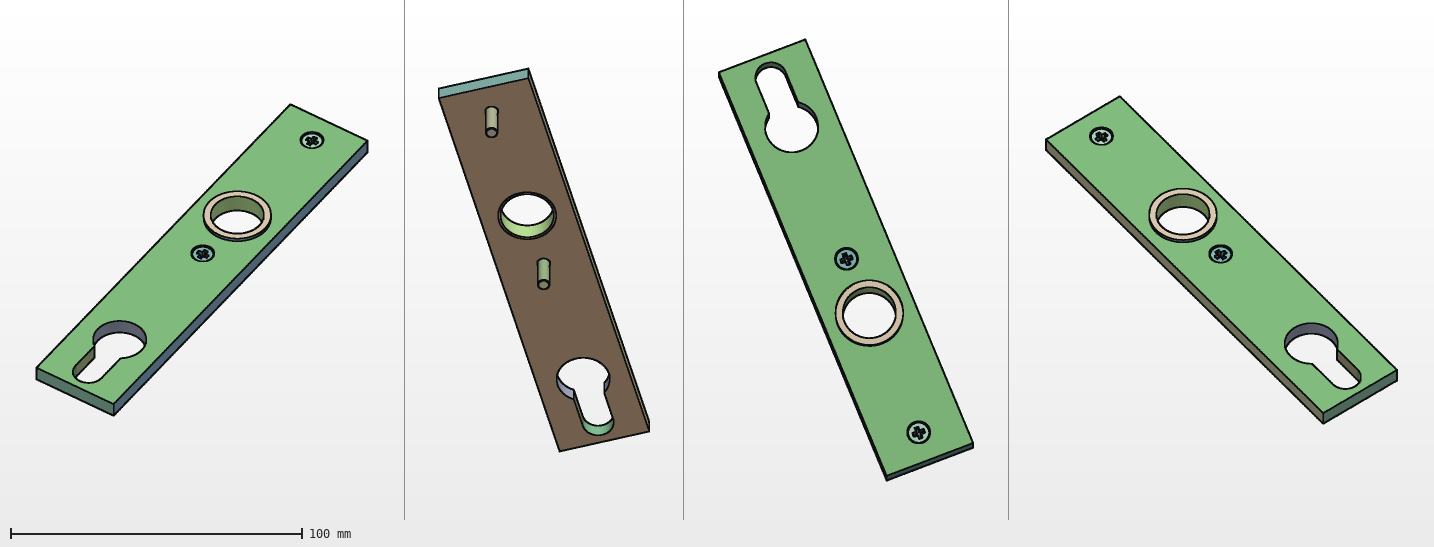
import cadquery as cq

plate_width = 32.0
plate_length = 156.0
plate_thickness = 5.6

keyhole_diameter = 18.3
keyhole_y = 27.5
key_slot_width = 10.8
key_slot_end_gap = 3.0

bush_y = plate_length - 56.3
bush_bore_diameter = 18.3
bush_sleeve_diameter = 20.0
bush_flange_diameter = 23.2
bush_flange_height = 1.2

top_screw_y = plate_length - 10.5
screw_spacing = 67.1
screw_positions_y = [top_screw_y, top_screw_y - screw_spacing]
overall_height = 19.2
screw_tip_z = bush_flange_height - overall_height
shank_diameter = 4.0
tip_diameter = 3.6
tip_chamfer = (shank_diameter - tip_diameter) / 2
head_diameter = 7.2
head_cone_height = (head_diameter - shank_diameter) / 2
cross_length = 4.2
cross_slot_width = 1.4
cross_depth = 1.9
cross_taper = 10.0

screw_hole_diameter = 4.5
countersink_diameter = 8.0
countersink_angle = 90.0
head_top_z = -(countersink_diameter - head_diameter) / 2


def make_keyhole_cutter():
    """Round opening with a round-ended slot running towards the lower plate end."""
    slot_end_y = key_slot_end_gap + key_slot_width / 2
    base = cq.Workplane("XY")
    opening = base.center(0, keyhole_y).circle(keyhole_diameter / 2).extrude(-plate_thickness)
    slot = (
        base.center(0, (keyhole_y + slot_end_y) / 2)
        .rect(key_slot_width, keyhole_y - slot_end_y)
        .extrude(-plate_thickness)
    )
    slot_end = base.center(0, slot_end_y).circle(key_slot_width / 2).extrude(-plate_thickness)
    return opening.union(slot).union(slot_end)


def make_plate():
    """Rectangular plate with the keyhole, the bush hole and two countersunk screw holes."""
    blank = (
        cq.Workplane("XY")
        .center(0, plate_length / 2)
        .rect(plate_width, plate_length)
        .extrude(-plate_thickness)
    )
    return (
        blank.cut(make_keyhole_cutter())
        .faces(">Z")
        .workplane(origin=(0, 0, 0))
        .pushPoints([(0, bush_y)])
        .hole(bush_sleeve_diameter)
        .pushPoints([(0, y) for y in screw_positions_y])
        .cskHole(screw_hole_diameter, countersink_diameter, countersink_angle)
    )


def make_bush():
    """Sleeve through the full plate thickness, with a flange resting on the plate face."""
    base = cq.Workplane("XY").center(0, bush_y)
    sleeve = base.circle(bush_sleeve_diameter / 2).extrude(-plate_thickness)
    flange = base.circle(bush_flange_diameter / 2).extrude(bush_flange_height)
    return sleeve.union(flange).faces(">Z").workplane().hole(bush_bore_diameter)


def make_screw(y):
    """Countersunk screw with a chamfered tip and a tapered cross recess in its head."""
    screw = (
        cq.Workplane("XZ")
        .moveTo(0, head_top_z)
        .lineTo(head_diameter / 2, head_top_z)
        .lineTo(shank_diameter / 2, head_top_z - head_cone_height)
        .lineTo(shank_diameter / 2, screw_tip_z + tip_chamfer)
        .lineTo(tip_diameter / 2, screw_tip_z)
        .lineTo(0, screw_tip_z)
        .close()
        .revolve(360, (0, 0), (0, 1))
    )
    head_face = cq.Workplane("XY", origin=(0, 0, head_top_z))
    for size_x, size_y in [(cross_length, cross_slot_width), (cross_slot_width, cross_length)]:
        slot = head_face.rect(size_x, size_y).extrude(-cross_depth, taper=cross_taper)
        screw = screw.cut(slot)
    return screw.translate((0, y, 0))


plate = make_plate()
bush = make_bush()
screws = [make_screw(y) for y in screw_positions_y]

result = cq.Compound.makeCompound([plate.val(), bush.val(), *[screw.val() for screw in screws]])